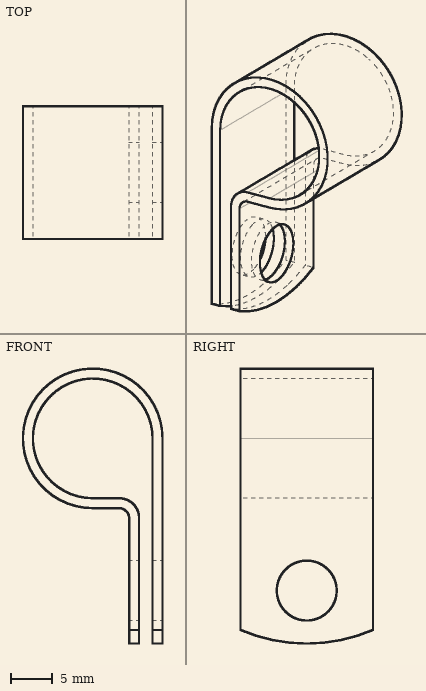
import cadquery as cq

height = 32.87
strip_width = 15.88
thickness = 1.2
loop_radius = 8.35
leg_gap = 1.58
bend_inner_radius = 1.18
hole_diameter = 7.13
hole_height = 6.35
end_radius = 20.0

bore_radius = loop_radius - thickness
bend_outer_radius = bend_inner_radius + thickness
bottom = loop_radius - height
short_leg_right = bore_radius - leg_gap
short_leg_left = short_leg_right - thickness
bend_x = short_leg_left - bend_inner_radius
bend_z = -loop_radius - bend_inner_radius


def make_strip():
    """Extrude the bent strip, centred on Y."""
    diagonal = 0.5**0.5
    profile = (
        cq.Workplane("XZ")
        .moveTo(loop_radius, bottom)
        .lineTo(loop_radius, 0)
        .threePointArc((-loop_radius * diagonal, loop_radius * diagonal), (0, -loop_radius))
        .lineTo(bend_x, -loop_radius)
        .threePointArc(
            (bend_x + bend_inner_radius * diagonal, bend_z + bend_inner_radius * diagonal),
            (short_leg_left, bend_z),
        )
        .lineTo(short_leg_left, bottom)
        .lineTo(short_leg_right, bottom)
        .lineTo(short_leg_right, bend_z)
        .threePointArc(
            (bend_x + bend_outer_radius * diagonal, bend_z + bend_outer_radius * diagonal),
            (bend_x, -bore_radius),
        )
        .lineTo(0, -bore_radius)
        .threePointArc((-bore_radius * diagonal, bore_radius * diagonal), (bore_radius, 0))
        .lineTo(bore_radius, bottom)
        .close()
    )
    return profile.extrude(strip_width / 2, both=True)


def make_side_outline():
    """Solid spanning the part along X: straight sides with an arc across the lower end."""
    half_width = strip_width / 2
    end_rise = end_radius - (end_radius**2 - half_width**2) ** 0.5
    return (
        cq.Workplane("YZ")
        .moveTo(-half_width, loop_radius)
        .lineTo(-half_width, bottom + end_rise)
        .threePointArc((0, bottom), (half_width, bottom + end_rise))
        .lineTo(half_width, loop_radius)
        .close()
        .extrude(loop_radius, both=True)
    )


def make_bolt_hole():
    """Cylinder along X through both legs."""
    return (
        cq.Workplane("YZ")
        .center(0, bottom + hole_height)
        .circle(hole_diameter / 2)
        .extrude(loop_radius, both=True)
    )


result = make_strip().intersect(make_side_outline()).cut(make_bolt_hole())